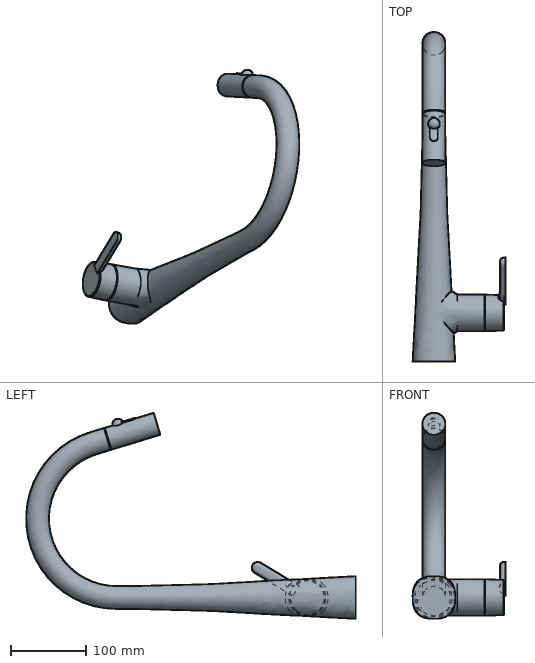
import cadquery as cq
import math

base_half_width = 28.5
base_squareness = 2.5
body_length = 129.5
body_end_radius = 21.75
cone_end = 196.0
cone_end_radius = 18.0
tube_start = 301.0
tube_radius = 15.5

bend_start = 319.0
overall_length = 439.5
bend_radius = overall_length - tube_radius - bend_start
head_tilt = 17
collar_length = 19.5
seam_width = 1.5
seam_depth = 0.5
spout_length = 88.7

button_distance = 38.5
button_height = 14.0
button_radius = 8.0
pad_end = 63.3
pad_width = 10.5
pad_rise = 1.0

valve_y = 65.0
valve_radius = 24.5
flare_half_length = 44.0
flare_half_height = 24.5
flare_end = 31.0
valve_end = 66.8
valve_seam = 1.5
cap_end = 93.5
cap_end_radius = 23.7
cap_edge = 1.5

lever_angle = 31
lever_start = 17.5
lever_tip_center = 77.0
lever_width = 16.0
lever_inner_x = 88.0
lever_outer_x = 95.5
lever_rounding = 5.3
lever_root_length = 15.5
lever_root_swell = 3.5


def base_outline(angle):
    """Point of the superellipse base at the given parameter angle."""
    power = 2 / base_squareness
    x = math.copysign(abs(math.cos(angle)) ** power, math.cos(angle))
    z = math.copysign(abs(math.sin(angle)) ** power, math.sin(angle))
    return base_half_width * x, base_half_width * z


def x_cylinder(start, end, radius):
    return (
        cq.Workplane("YZ", origin=(start, valve_y, 0))
        .circle(radius)
        .extrude(end - start)
    )


def make_body():
    """Squarish base blending to a round neck."""
    outline_points = 24
    points = [base_outline(2 * math.pi * i / outline_points) for i in range(outline_points)]
    return (
        cq.Workplane("XZ")
        .spline(points, periodic=True).close()
        .workplane(offset=-body_length)
        .circle(body_end_radius)
        .loft(combine=True)
    )


def make_neck():
    """Two-stage taper and short straight pipe, turned about the Y axis."""
    return (
        cq.Workplane("XY")
        .moveTo(0, body_length)
        .lineTo(body_end_radius, body_length)
        .lineTo(cone_end_radius, cone_end)
        .lineTo(tube_radius, tube_start)
        .lineTo(tube_radius, bend_start)
        .lineTo(0, bend_start)
        .close()
        .revolve(360, (0, 0, 0), (0, 1, 0))
    )


def make_bend():
    return (
        cq.Workplane("XZ", origin=(0, bend_start, 0))
        .circle(tube_radius)
        .revolve(180 - head_tilt, (-4.5, bend_radius, 0), (4.5, bend_radius, 0))
    )


def make_spout():
    """Spray head in a frame whose normal follows the outlet direction."""
    tilt = math.radians(head_tilt)
    start = cq.Vector(
        0,
        bend_start + bend_radius * math.sin(tilt),
        bend_radius * (1 + math.cos(tilt)),
    )
    outlet = cq.Vector(0, -math.cos(tilt), math.sin(tilt))
    plane = cq.Plane(origin=start, xDir=(1, 0, 0), normal=outlet)
    frame = cq.Workplane(plane)
    spout = frame.circle(tube_radius).extrude(spout_length)
    seam = (
        frame.workplane(offset=collar_length)
        .circle(tube_radius + seam_depth)
        .circle(tube_radius - seam_depth)
        .extrude(seam_width)
    )
    button = (
        cq.Workplane("XY")
        .sphere(button_radius)
        .translate(plane.toWorldCoords((0, button_height, button_distance)))
    )
    pad_length = pad_end - button_distance
    pad_plane = cq.Plane(
        origin=plane.toWorldCoords((0, 0, button_distance + pad_length / 2)),
        xDir=outlet,
        normal=plane.yDir,
    )
    pad = (
        cq.Workplane(pad_plane)
        .slot2D(pad_length, pad_width)
        .extrude(tube_radius + pad_rise)
    )
    return spout.cut(seam).union(button).union(pad)


def make_valve():
    """Flared branch, valve barrel, seam and tapered cap."""
    flare = (
        cq.Workplane("YZ", origin=(0, valve_y, 0))
        .ellipse(flare_half_length, flare_half_height)
        .workplane(offset=flare_end)
        .circle(valve_radius)
        .loft(combine=True)
    )
    cap_start = valve_end + valve_seam
    barrel = x_cylinder(flare_end, valve_end, valve_radius)
    seam_core = x_cylinder(valve_end, cap_start, valve_radius - seam_depth)
    cap = (
        cq.Workplane("YZ", origin=(cap_start, valve_y, 0))
        .circle(valve_radius)
        .workplane(offset=cap_end - cap_start)
        .circle(cap_end_radius)
        .loft(combine=True)
        .faces(">X").edges().chamfer(cap_edge)
    )
    return flare.union(barrel).union(seam_core).union(cap)


def make_lever():
    """Flat bar with a round tip and rounded inner edges, radial to the valve."""
    half = lever_width / 2
    bar = (
        cq.Workplane("YZ", origin=(lever_inner_x, valve_y, 0))
        .moveTo(lever_start, -half)
        .lineTo(lever_tip_center, -half)
        .threePointArc((lever_tip_center + half, 0), (lever_tip_center, half))
        .lineTo(lever_start, half)
        .close()
        .extrude(lever_outer_x - lever_inner_x)
        .faces("<X").edges("not <Y").fillet(lever_rounding)
    )
    root_center_x = (lever_inner_x + lever_outer_x) / 2
    root_depth = root_center_x - lever_inner_x
    root = (
        cq.Workplane("XZ", origin=(root_center_x, valve_y + lever_start, 0))
        .ellipse(root_depth + lever_root_swell, half)
        .workplane(offset=-lever_root_length)
        .ellipse(root_depth, half - lever_rounding)
        .loft(combine=True)
        .intersect(cq.Workplane("YZ").rect(overall_length, overall_length).extrude(lever_outer_x))
    )
    return (
        bar.union(root)
        .rotate((0, valve_y, 0), (1, valve_y, 0), lever_angle)
    )


result = (
    make_body()
    .union(make_neck())
    .union(make_bend())
    .union(make_spout())
    .union(make_valve())
    .union(make_lever())
)